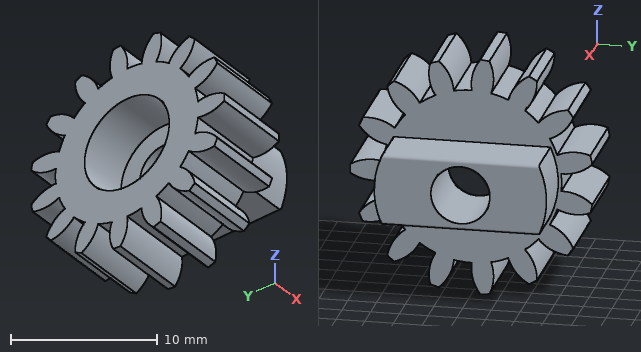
import cadquery as cq
import math

tooth_count = 15
tip_radius = 8.5
root_radius = 6.24
gear_width = 6.0

root_half_width = 0.68
middle_half_width = 0.76
middle_radius = 7.0
tip_half_width = 0.32

total_length = 10.0
tongue_radius = 6.0
tongue_thickness = 5.0
tongue_fillet = 0.2
tongue_length = total_length - gear_width

bore_diameter = 4.1
counterbore_diameter = 7.4
counterbore_depth = 4.0

overlap = 0.17


def disc(radius, length, start):
    """Cylinder along +X that begins at X = start."""
    return cq.Workplane("YZ").workplane(offset=start).circle(radius).extrude(length)


def make_tooth():
    """One tooth pointing along +Y, with arc flanks and a tip on the outside circle."""
    base = root_radius - overlap
    root_at = math.sqrt(root_radius**2 - root_half_width**2)
    tip_at = math.sqrt(tip_radius**2 - tip_half_width**2)
    return (
        cq.Workplane("YZ")
        .moveTo(base, -root_half_width)
        .lineTo(root_at, -root_half_width)
        .threePointArc((middle_radius, -middle_half_width), (tip_at, -tip_half_width))
        .threePointArc((tip_radius, 0), (tip_at, tip_half_width))
        .threePointArc((middle_radius, middle_half_width), (root_at, root_half_width))
        .lineTo(base, root_half_width)
        .close()
        .extrude(gear_width)
    )


def make_gear():
    """Root disc with teeth; the first tooth points along -Y."""
    gear = disc(root_radius, gear_width, 0)
    tooth = make_tooth()
    for index in range(tooth_count):
        angle = 180 + index * 360 / tooth_count
        gear = gear.union(tooth.rotate((0, 0, 0), (1, 0, 0), angle))
    return gear


def make_tongue():
    """Flat-sided disc whose straight end edges are rounded."""
    start = gear_width - overlap
    length = tongue_length + overlap
    flats = (
        cq.Workplane("XY")
        .box(length, 2 * tongue_radius, tongue_thickness, centered=(False, True, True))
        .edges(">X and |Y")
        .fillet(tongue_fillet)
        .translate((start, 0, 0))
    )
    return disc(tongue_radius, length, start).intersect(flats)


bore = disc(bore_diameter / 2, total_length, 0)
counterbore = disc(counterbore_diameter / 2, counterbore_depth, 0)

result = make_gear().union(make_tongue()).cut(bore).cut(counterbore)